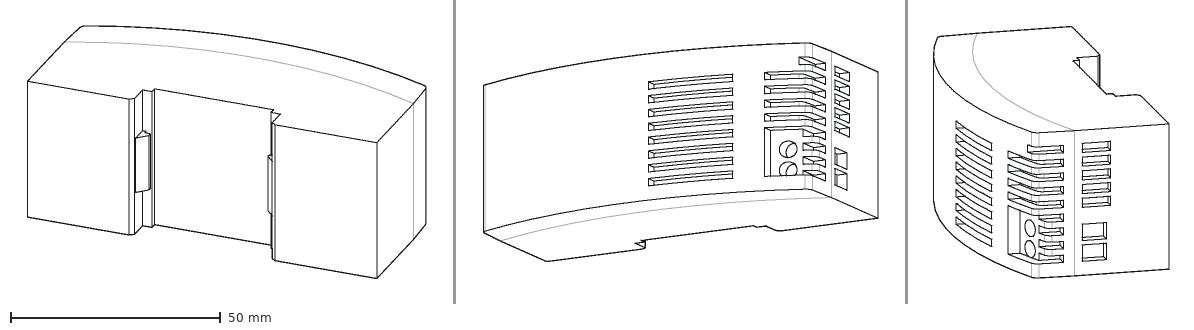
import cadquery as cq
import math

length = 90.0
depth = 42.1
height = 36.0
half_length = length / 2

seam_edge_y = 23.3
seam_crown_y = 32.5
cover_radius = 115.2
cover_arc_center_y = depth - cover_radius
cover_draft = 0.9
corner_radius = 1.8

channel_half_width = 15.3
channel_depth = 7.6
undercut_half_width = 17.7
undercut_depth = 5.9
channel_chamfer_x = 1.1
channel_chamfer_y = 0.8
latch_height = 14.4
latch_root_x = 16.9
latch_root_y = 5.3
latch_tip_back_y = 4.95
latch_tip_front_y = 4.05
latch_foot_y = 1.5

wall = 2.9
row_count = 9
end_margin = 3.5
vent_height = 1.8
row_pitch = (height - 2 * end_margin - vent_height) / (row_count - 1)
vent_start_y = 26.0
vent_end_x = -34.2
front_vent_outer_x = -26.6
front_vent_inner_x = -5.4

recess_row_count = 4
recess_vent_depth = 3.4
recess_height = (recess_row_count - 1) * row_pitch + vent_height
terminal_count = 2
terminal_pitch = 5.1
screw_hole_diameter = 4.05
screw_hole_depth = 2.7
screw_hole_x = -38.25

pocket_depth = 2.7
pocket_front_y = 21.4
side_slot_count = 5
side_slot_length = 7.0
side_slot_height = 2.25
wire_pocket_length = 5.9
wire_pocket_height = 4.05
first_terminal_z = end_margin + wire_pocket_height / 2


def box(x_min, x_max, y_min, y_max, z_min, z_max):
    """Axis-aligned box given by its limits."""
    size = (x_max - x_min, y_max - y_min, z_max - z_min)
    return cq.Workplane("XY").box(*size, centered=False).translate((x_min, y_min, z_min))


def row_center(row):
    """Height of the middle of a vent row, counted from the top."""
    return height - end_margin - vent_height / 2 - row * row_pitch


def terminal_center(terminal):
    """Height of the middle of a terminal, counted from the bottom."""
    return first_terminal_z + terminal * terminal_pitch


def bow_y(x, inset):
    """Y of the bowed cover surface, or of the surface parallel to it inside, at x."""
    return cover_arc_center_y + math.sqrt((cover_radius - inset) ** 2 - x**2)


def cover_block(side_inset, bow_inset):
    """Drafted block with a bowed front and rounded corners, inset from the outer cover surface."""
    base_x = half_length - side_inset
    tip_x = base_x - cover_draft
    bow = cq.Workplane("XY").center(0, cover_arc_center_y).circle(cover_radius - bow_inset).extrude(height)
    return (
        cq.Workplane("XY")
        .polyline([(-base_x, seam_edge_y), (-tip_x, depth), (tip_x, depth), (base_x, seam_edge_y)])
        .close()
        .extrude(height)
        .intersect(bow)
        .edges("|Z")
        .edges(">Y")
        .fillet(corner_radius)
    )


def make_body():
    """Prism behind the bowed seam, with the rail channel cut into its mounting face."""
    return (
        cq.Workplane("XY")
        .moveTo(-half_length, 0)
        .lineTo(-half_length, seam_edge_y)
        .threePointArc((0, seam_crown_y), (half_length, seam_edge_y))
        .lineTo(half_length, 0)
        .lineTo(undercut_half_width + channel_chamfer_x, 0)
        .lineTo(undercut_half_width, channel_chamfer_y)
        .lineTo(undercut_half_width, undercut_depth)
        .lineTo(channel_half_width, undercut_depth)
        .lineTo(channel_half_width, channel_depth)
        .lineTo(-channel_half_width, channel_depth)
        .lineTo(-channel_half_width, undercut_depth)
        .lineTo(-undercut_half_width, undercut_depth)
        .lineTo(-undercut_half_width, channel_chamfer_y)
        .lineTo(-undercut_half_width - channel_chamfer_x, 0)
        .close()
        .extrude(height)
    )


def make_latch():
    """Barbed latch on the +X wall of the channel, halfway up."""
    outline = [
        (undercut_half_width, undercut_depth),
        (latch_root_x, undercut_depth),
        (latch_root_x, latch_root_y),
        (channel_half_width, latch_tip_back_y),
        (channel_half_width, latch_tip_front_y),
        (undercut_half_width, latch_foot_y),
    ]
    bottom_z = (height - latch_height) / 2
    return cq.Workplane("XY").workplane(offset=bottom_z).polyline(outline).close().extrude(latch_height)


def side_pocket(pocket_length, pocket_height, center_z):
    """Blind pocket into the -X side of the body."""
    return box(
        -half_length, -half_length + pocket_depth,
        pocket_front_y - pocket_length, pocket_front_y,
        center_z - pocket_height / 2, center_z + pocket_height / 2,
    )


def vent_row(x_min, x_max, y_min, row):
    """Block as high as one vent row, open to the front of the cover."""
    center_z = row_center(row)
    return box(x_min, x_max, y_min, depth, center_z - vent_height / 2, center_z + vent_height / 2)


latch = make_latch()
body = make_body().union(latch).union(latch.mirror("YZ"))
for row in range(side_slot_count):
    body = body.cut(side_pocket(side_slot_length, side_slot_height, row_center(row)))
for terminal in range(terminal_count):
    body = body.cut(side_pocket(wire_pocket_length, wire_pocket_height, terminal_center(terminal)))

cover = cover_block(0, 0).cut(make_body())

recess_zone = box(-half_length, vent_end_x, seam_edge_y, depth, end_margin, end_margin + recess_height)
cover = cover.cut(recess_zone.cut(cover_block(0, wall)))

inner_block = cover_block(wall, wall)
for row in range(row_count):
    wraps_corner = 0 < row <= row_count - 1 - recess_row_count
    if wraps_corner:
        vent = vent_row(-half_length, vent_end_x, vent_start_y, row).cut(inner_block)
    else:
        vent_depth = wall if row == 0 else recess_vent_depth
        vent = vent_row(-half_length, -half_length + vent_depth, vent_start_y, row)
    cover = cover.cut(vent)

for row in range(1, row_count):
    front_vent = vent_row(front_vent_outer_x, front_vent_inner_x, seam_edge_y, row)
    cover = cover.cut(front_vent.cut(inner_block))

hole_bottom_y = bow_y(screw_hole_x, wall) - screw_hole_depth
for terminal in range(terminal_count):
    hole_start = cq.Vector(screw_hole_x, hole_bottom_y, terminal_center(terminal))
    hole = cq.Solid.makeCylinder(screw_hole_diameter / 2, depth - hole_bottom_y, hole_start, cq.Vector(0, 1, 0))
    cover = cover.cut(cq.Workplane(hole))

result = body.union(cover, clean=False)